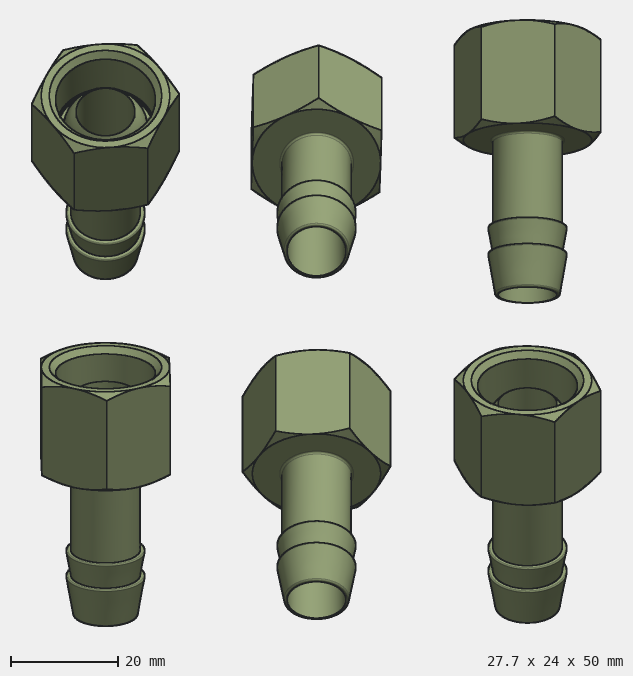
import cadquery as cq
import math

total_height = 50.0
nut_height = 20.0
across_flats = 24.0
nut_bottom = total_height - nut_height
corner_radius = across_flats / 2 / math.cos(math.radians(30))
nut_chamfer_angle = 30.0

bore_diameter = 11.0
shank_radius = 13.0 / 2
barb_radius = 14.75 / 2
tip_radius = 12.2 / 2
lower_barb_top = 8.0
upper_barb_top = 13.1
barb_edge_round = 0.25
tip_round = 0.35
shank_fillet = 0.4

mouth_diameter = 21.0
thread_diameter = 18.65
relief_diameter = 18.0
relief_depth = 0.5
nose_radius = 16.0 / 2
nose_tip_depth = 5.15
nose_rise = math.sqrt(nose_radius**2 - (bore_diameter / 2)**2)
nose_center = total_height - nose_tip_depth - nose_rise
socket_floor = nose_center


def cylinder(diameter, bottom, top):
    return cq.Workplane("XY").workplane(offset=bottom).circle(diameter / 2).extrude(top - bottom)


def make_nut():
    """Hexagon with both ends chamfered down to the across-flats circle."""
    flat_radius = across_flats / 2
    drop = (corner_radius - flat_radius) * math.tan(math.radians(nut_chamfer_angle))
    hexagon = (
        cq.Workplane("XY")
        .workplane(offset=nut_bottom)
        .polygon(6, 2 * corner_radius)
        .extrude(nut_height)
    )
    envelope = (
        cq.Workplane("XZ")
        .moveTo(0, nut_bottom)
        .lineTo(flat_radius, nut_bottom)
        .lineTo(corner_radius, nut_bottom + drop)
        .lineTo(corner_radius, total_height - drop)
        .lineTo(flat_radius, total_height)
        .lineTo(0, total_height)
        .close()
        .revolve(360, (0, 0, 0), (0, 1, 0))
    )
    return hexagon.intersect(envelope)


def make_tail():
    """Round shank with two barbs, revolved about Z."""
    round_middle = barb_edge_round * math.sqrt(0.5)
    fillet_middle = shank_fillet * (1 - math.sqrt(0.5))
    tip_middle = tip_round * (1 - math.sqrt(0.5))
    profile = cq.Workplane("XZ").moveTo(0, 0).lineTo(tip_radius - tip_round, 0)
    profile = profile.threePointArc((tip_radius - tip_middle, tip_middle), (tip_radius, tip_round))
    for barb_top in (lower_barb_top, upper_barb_top):
        round_center = (barb_radius - barb_edge_round, barb_top - barb_edge_round)
        profile = (
            profile.lineTo(barb_radius, round_center[1])
            .threePointArc(
                (round_center[0] + round_middle, round_center[1] + round_middle),
                (round_center[0], barb_top),
            )
            .lineTo(shank_radius, barb_top)
        )
    return (
        profile.lineTo(shank_radius, nut_bottom - shank_fillet)
        .threePointArc(
            (shank_radius + fillet_middle, nut_bottom - fillet_middle),
            (shank_radius + shank_fillet, nut_bottom),
        )
        .lineTo(0, nut_bottom)
        .close()
        .revolve(360, (0, 0, 0), (0, 1, 0))
    )


def make_socket():
    """Threaded bore with a countersunk mouth and a narrower relief at its floor."""
    mouth_depth = (mouth_diameter - thread_diameter) / 2
    mouth = (
        cq.Workplane("XY")
        .workplane(offset=total_height)
        .circle(mouth_diameter / 2)
        .workplane(offset=-mouth_depth)
        .circle(thread_diameter / 2)
        .loft()
    )
    thread_bore = cylinder(thread_diameter, socket_floor + relief_depth, total_height)
    relief = cylinder(relief_diameter, socket_floor, total_height)
    return mouth.union(thread_bore).union(relief)


nose = cq.Workplane("XY").sphere(nose_radius).translate((0, 0, nose_center))
through_bore = cylinder(bore_diameter, 0, total_height)

result = make_nut().union(make_tail()).cut(make_socket()).union(nose).cut(through_bore)